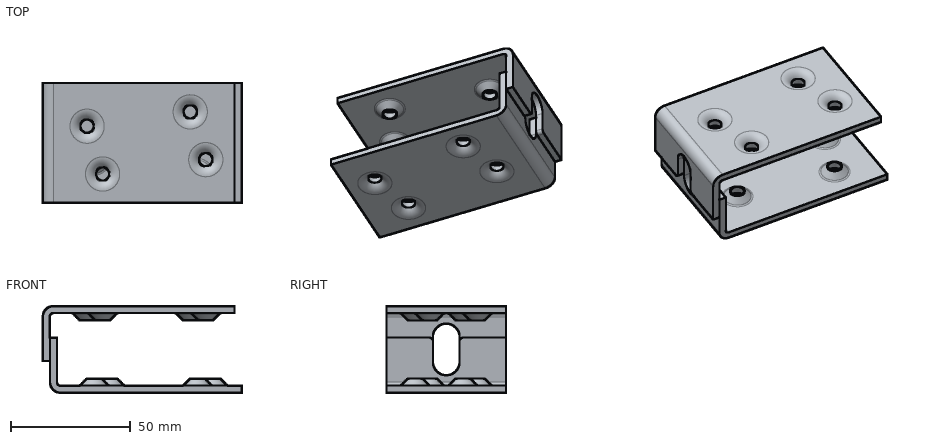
import cadquery as cq
import math

TOTAL_LENGTH = 83.0
THICKNESS = 3.0
PLATE_LENGTH = TOTAL_LENGTH - THICKNESS
WIDTH = 50.0
TOTAL_HEIGHT = 36.2
LEG_HEIGHT = 23.0
BEND_INNER_RADIUS = 1.5
BEND_OUTER_RADIUS = BEND_INNER_RADIUS + THICKNESS

NOTCH_WIDTH = 11.0
NOTCH_END = 7.4
NOTCH_MOUTH_RADIUS = 1.5

BORE_RADIUS = 2.7
ENTRY_RADIUS = 7.1
ENTRY_ROUND = 5.0
DIMPLE_HEIGHT = THICKNESS
DIMPLE_TIP_RADIUS = 3.1
DIMPLE_CONE_ANGLE = math.radians(45)
DIMPLE_BASE_RADIUS = DIMPLE_TIP_RADIUS + DIMPLE_HEIGHT / math.tan(DIMPLE_CONE_ANGLE)
DIMPLE_BASE_FILLET = 1.0

HOLE_PITCH_X = 43.0
FIRST_HOLE_X = 18.5
ROW_SHIFT_X = 6.5
INNER_HOLE_Y = 7.0
OUTER_HOLE_Y = 12.95
HOLE_CENTRES = [
    (FIRST_HOLE_X, INNER_HOLE_Y),
    (FIRST_HOLE_X + HOLE_PITCH_X, OUTER_HOLE_Y),
    (FIRST_HOLE_X + ROW_SHIFT_X, -OUTER_HOLE_Y),
    (FIRST_HOLE_X + ROW_SHIFT_X + HOLE_PITCH_X, -INNER_HOLE_Y),
]


def bent_sheet():
    """L-shaped sheet with its outer corner at the origin and its plate's outer face on Z = 0."""
    profile = (
        cq.Workplane("XZ", origin=(0, WIDTH / 2, 0))
        .moveTo(PLATE_LENGTH, 0)
        .lineTo(BEND_OUTER_RADIUS, 0)
        .radiusArc((0, -BEND_OUTER_RADIUS), -BEND_OUTER_RADIUS)
        .lineTo(0, -LEG_HEIGHT)
        .lineTo(THICKNESS, -LEG_HEIGHT)
        .lineTo(THICKNESS, -BEND_OUTER_RADIUS)
        .radiusArc((BEND_OUTER_RADIUS, -THICKNESS), BEND_INNER_RADIUS)
        .lineTo(PLATE_LENGTH, -THICKNESS)
        .close()
    )
    return profile.extrude(WIDTH)


def leg_notch():
    """Cutter for the round-ended notch, flaring out with rounded corners at the leg's free edge."""
    half = NOTCH_WIDTH / 2
    flare = half + NOTCH_MOUTH_RADIUS
    mouth_start = -LEG_HEIGHT + NOTCH_MOUTH_RADIUS
    arc_start = -NOTCH_END - half
    return (
        cq.Workplane("YZ")
        .moveTo(-flare, -LEG_HEIGHT)
        .radiusArc((-half, mouth_start), -NOTCH_MOUTH_RADIUS)
        .lineTo(-half, arc_start)
        .threePointArc((0, -NOTCH_END), (half, arc_start))
        .lineTo(half, mouth_start)
        .radiusArc((flare, -LEG_HEIGHT), -NOTCH_MOUTH_RADIUS)
        .close()
        .extrude(THICKNESS)
    )


def revolved(profile, centre):
    """Turn a (radius, Z) profile about the Z axis and move it to a hole centre."""
    return profile.close().revolve(360, (0, 0), (0, 1)).translate((*centre, 0))


def dimple(centre):
    """Solid cone below the plate with a fillet where it meets the plate."""
    base_z = -THICKNESS
    tip_z = base_z - DIMPLE_HEIGHT
    root_z = base_z / 2
    tangent = DIMPLE_BASE_FILLET * math.tan(DIMPLE_CONE_ANGLE / 2)
    fillet_base_radius = DIMPLE_BASE_RADIUS + tangent
    fillet_cone_radius = DIMPLE_BASE_RADIUS - tangent * math.cos(DIMPLE_CONE_ANGLE)
    fillet_cone_z = base_z - tangent * math.sin(DIMPLE_CONE_ANGLE)
    profile = (
        cq.Workplane("XZ")
        .moveTo(0, root_z)
        .lineTo(fillet_base_radius, root_z)
        .lineTo(fillet_base_radius, base_z)
        .radiusArc((fillet_cone_radius, fillet_cone_z), -DIMPLE_BASE_FILLET)
        .lineTo(DIMPLE_TIP_RADIUS, tip_z)
        .lineTo(0, tip_z)
    )
    return revolved(profile, centre)


def screw_hole(centre):
    """Cutter for the bore and the rounded entry that leads into it."""
    entry_depth = ENTRY_ROUND - math.sqrt(ENTRY_ROUND**2 - (ENTRY_RADIUS - BORE_RADIUS) ** 2)
    bottom_z = -THICKNESS - DIMPLE_HEIGHT
    profile = (
        cq.Workplane("XZ")
        .lineTo(ENTRY_RADIUS, 0)
        .radiusArc((BORE_RADIUS, -entry_depth), -ENTRY_ROUND)
        .lineTo(BORE_RADIUS, bottom_z)
        .lineTo(0, bottom_z)
    )
    return revolved(profile, centre)


def bracket():
    """One complete bracket, plate on top and leg pointing down."""
    body = bent_sheet().cut(leg_notch())
    for centre in HOLE_CENTRES:
        body = body.union(dimple(centre))
    for centre in HOLE_CENTRES:
        body = body.cut(screw_hole(centre))
    return body


upper_bracket = bracket().translate((0, 0, TOTAL_HEIGHT))
lower_bracket = bracket().rotate((0, 0, 0), (1, 0, 0), 180).translate((THICKNESS, 0, 0))

result = cq.Compound.makeCompound([upper_bracket.val(), lower_bracket.val()])